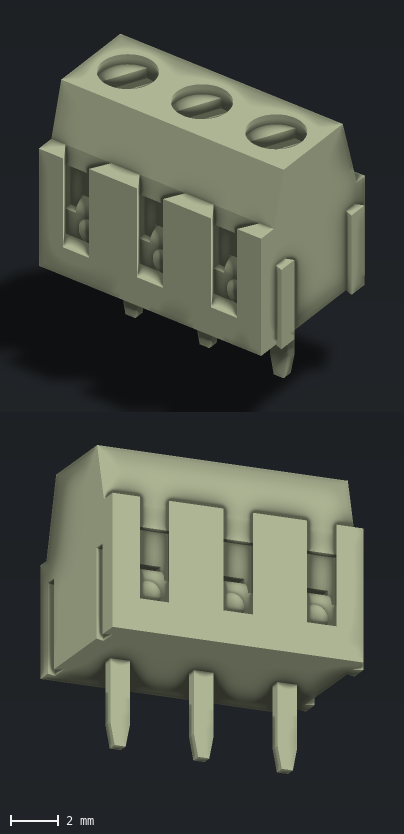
import cadquery as cq
import math


pole_count = 3
pitch = 3.81
housing_width = pole_count * pitch
pole_centres = [(i - (pole_count - 1) / 2) * pitch for i in range(pole_count)]

housing_depth = 7.4
housing_height = 8.5
front_ledge_depth = 0.9
front_ledge_height = 5.9
back_ledge_start = 6.8
back_ledge_height = 5.0
top_front = 1.6
top_back = 5.8

dovetail_centres = [1.35, 6.35]
dovetail_height = 4.0
dovetail_reach = 0.39
dovetail_neck = 0.63
dovetail_wide = 0.92

entry_front_width = 1.34
entry_back_width = 2.37
sill_height = 1.43
cavity_back = 1.27
cavity_top = 4.91
shelf_height = 2.68
leaf_clearance = 0.18

screw_diameter = 2.6
screw_length = 1.48
screw_recess = 0.5
screw_centre_y = 3.7
slot_width = 1.05
slot_depth = 0.5
slot_angle = 63.5

terminal_offset = 0.1
leaf_width = 1.5
leaf_thickness = 0.54
pin_width = 0.9
pin_thickness = 0.5
pin_centre_y = 4.0
pin_reach = 3.8
pin_taper_length = 1.0
pin_tip_width = 0.5
terminal_back = pin_centre_y + pin_thickness / 2

button_width = 1.32
button_flat = 0.09
button_rounding = 0.45
button_length = 0.74
button_projection = 0.22
button_centre_z = 1.99


def box_between(x_range, y_range, z_range):
    """Block filling the given ranges."""
    (x0, x1), (y0, y1), (z0, z1) = x_range, y_range, z_range
    return cq.Workplane("XY").box(x1 - x0, y1 - y0, z1 - z0, centered=False).translate((x0, y0, z0))


def centred_range(centre, width):
    """Start and end of a stretch with the given middle."""
    return centre - width / 2, centre + width / 2


def make_screw(x):
    """Slotted screw, sunk below the top of the housing."""
    top = housing_height - screw_recess
    slot = (
        cq.Workplane("XY")
        .box(2 * screw_diameter, slot_width, slot_depth, centered=(True, True, False))
        .rotate((0, 0, 0), (0, 0, 1), slot_angle)
        .translate((0, 0, screw_length - slot_depth))
    )
    screw = cq.Workplane("XY").circle(screw_diameter / 2).extrude(screw_length).cut(slot)
    return screw.translate((x, screw_centre_y, top - screw_length))


def make_terminal(x):
    """Leaf on the shelf, with a rounded front edge, and the tapered pin under its back end."""
    centre = x + terminal_offset
    leaf = box_between(
        centred_range(centre, leaf_width),
        (front_ledge_depth + leaf_thickness, terminal_back),
        (shelf_height, shelf_height + leaf_thickness),
    )
    round_drop = leaf_thickness * (1 - math.sqrt(0.5))
    rounded_front = (
        cq.Workplane("YZ")
        .moveTo(front_ledge_depth, shelf_height)
        .threePointArc(
            (front_ledge_depth + round_drop, shelf_height + leaf_thickness - round_drop),
            (front_ledge_depth + leaf_thickness, shelf_height + leaf_thickness),
        )
        .lineTo(front_ledge_depth + leaf_thickness, shelf_height)
        .close()
        .extrude(leaf_width)
        .translate((centre - leaf_width / 2, 0, 0))
    )
    taper_start = pin_taper_length - pin_reach
    pin = (
        cq.Workplane("XZ")
        .polyline([
            (-pin_tip_width / 2, -pin_reach),
            (pin_tip_width / 2, -pin_reach),
            (pin_width / 2, taper_start),
            (pin_width / 2, shelf_height),
            (-pin_width / 2, shelf_height),
            (-pin_width / 2, taper_start),
        ])
        .close()
        .extrude(pin_thickness / 2, both=True)
        .translate((centre, pin_centre_y, 0))
    )
    return leaf.union(rounded_front).union(pin)


def make_button(x):
    """Rounded stud set into the housing below the leaf."""
    return (
        cq.Workplane("XZ")
        .rect(button_width, button_width)
        .extrude(button_length)
        .edges("|Y")
        .fillet((button_width - button_flat) / 2)
        .faces("<Y")
        .edges()
        .fillet(button_rounding)
        .translate((
            x + terminal_offset,
            front_ledge_depth - button_projection + button_length,
            button_centre_z,
        ))
    )


def housing_block():
    """Stepped block with a tapering upper part."""
    return (
        cq.Workplane("YZ")
        .polyline([
            (0, 0),
            (housing_depth, 0),
            (housing_depth, back_ledge_height),
            (back_ledge_start, back_ledge_height),
            (top_back, housing_height),
            (top_front, housing_height),
            (front_ledge_depth, front_ledge_height),
            (0, front_ledge_height),
        ])
        .close()
        .extrude(housing_width / 2, both=True)
    )


def dovetail(side_x, y):
    """Upright dovetail whose narrow side lies on side_x and which widens towards +X."""
    return (
        cq.Workplane("XY")
        .polyline([
            (side_x, y - dovetail_neck / 2),
            (side_x + dovetail_reach, y - dovetail_wide / 2),
            (side_x + dovetail_reach, y + dovetail_wide / 2),
            (side_x, y + dovetail_neck / 2),
        ])
        .close()
        .extrude(dovetail_height)
    )


def wire_entry(x):
    """Opening that widens inwards, the cavity behind it and the passage over the leaf."""
    window = (
        cq.Workplane("XY")
        .workplane(offset=sill_height)
        .polyline([
            (x - entry_front_width / 2, 0),
            (x + entry_front_width / 2, 0),
            (x + entry_back_width / 2, front_ledge_depth),
            (x - entry_back_width / 2, front_ledge_depth),
        ])
        .close()
        .extrude(front_ledge_height - sill_height)
    )
    cavity = box_between(
        centred_range(x, entry_back_width),
        (front_ledge_depth, cavity_back),
        (shelf_height, cavity_top),
    )
    passage = box_between(
        centred_range(x + terminal_offset, leaf_width),
        (front_ledge_depth, terminal_back),
        (shelf_height, shelf_height + leaf_thickness + leaf_clearance),
    )
    return window.union(cavity).union(passage)


def screw_hole(x):
    """Round pocket that holds the screw and stays open above it."""
    depth = screw_length + screw_recess
    hole = cq.Workplane("XY").circle(screw_diameter / 2).extrude(depth)
    return hole.translate((x, screw_centre_y, housing_height - depth))


screws = [make_screw(x) for x in pole_centres]
terminals = [make_terminal(x) for x in pole_centres]
buttons = [make_button(x) for x in pole_centres]

housing = housing_block()
for y in dovetail_centres:
    housing = housing.union(dovetail(housing_width / 2, y))
    housing = housing.cut(dovetail(-housing_width / 2, y))
for x in pole_centres:
    housing = housing.cut(wire_entry(x)).cut(screw_hole(x))
for insert in terminals + buttons:
    housing = housing.cut(insert)

bodies = [housing] + screws + terminals + buttons
result = cq.Compound.makeCompound([body.solids().val() for body in bodies])